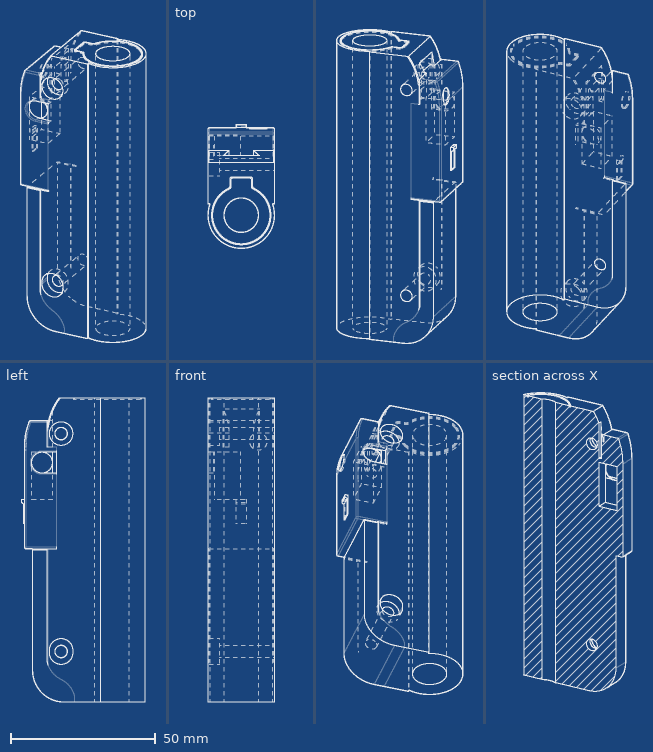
import cadquery as cq
import math

width = 23.0
depth = 42.7
height = 105.0
half_width = width / 2
barrel_radius = half_width
front_y = -barrel_radius

flank_front_y = 3.9
bore_radius = 5.9
body_back_y = 22.3
crown_radius = 20.0
crown_flat_end_y = 18.2
crown_edge_fillet = 0.3

insert_radius = 9.9
key_half_width = 3.6
key_back_y = 12.85
key_corner_fillet = 0.8
groove_width = 0.35
groove_depth = 0.5

cover_back_y = 27.4
cover_corner_radius = 11.0
seam_start = (body_back_y, 13.9)
seam_upper_mid = (20.4, 10.1)
seam_inflection = (17.2, 7.7)
seam_lower_mid = (14.3, 5.2)
seam_end = (12.8, 1.9)
cover_gap = 0.3

housing_back_y = 30.2
housing_front_y = 19.15
housing_bottom_z = 52.9
housing_top_z = 97.15
shoulder_z = 88.0
housing_arc_radius = 25.0
housing_edge_fillet = 0.6

dovetail_floor_y = 20.5
dovetail_floor_half_width = 6.25
tongue_half_width = 4.25

slot_y = 24.1
slot_z = 82.7
slot_radius = 3.6
slot_depth = 2.0
slot_rim_fillet = 0.4
window_wall = 0.3
chamber_depth = 9.0
chamber_bottom_z = 70.0
chamber_top_z = slot_z + slot_radius

tab_width = 3.5
tab_back_y = front_y + depth
tab_top_z = 70.0
tab_tip_z = 68.9
tab_foot_z = 68.4
tab_plate_thickness = 0.3
tab_plate_y = housing_back_y + tab_plate_thickness
tab_bottom_z = 61.6
tab_root_depth = 0.5
tab_root_y = housing_back_y - tab_root_depth
recess_x = 5.9
recess_z = 90.0
recess_radius = 3.0
recess_depth = 0.5

screw_y = 17.5
screw_heights = (17.5, 92.7)
screw_hole_radius = 2.1
screw_seat_width = 8.1
screw_seat_depth = 4.0
lower_seat_stretch = 0.8

pick_margin = 0.5


def side_sketch(x=-half_width):
    """Workplane in Y, Z at the given X; extruding runs towards +X."""
    return cq.Workplane("YZ", origin=(x, 0, 0))


def box(x_range, y_range, z_range):
    sizes = [high - low for low, high in (x_range, y_range, z_range)]
    corner = (x_range[0], y_range[0], z_range[0])
    return cq.Workplane("XY", origin=corner).box(*sizes, centered=False)


def arc_mid(center, radius, angle_a, angle_b):
    """Point on an arc halfway between two angles in radians."""
    angle = (angle_a + angle_b) / 2
    return (center[0] + radius * math.cos(angle), center[1] + radius * math.sin(angle))


def back_arc(back_y, start_z, end, radius):
    """Middle point of an arc that leaves a vertical back face and stops at end."""
    center = (back_y - radius, start_z)
    end_angle = math.atan2(end[1] - center[1], end[0] - center[0])
    return arc_mid(center, radius, 0, end_angle)


def make_block():
    """Block with its crowned back, cut short where the cover begins."""
    crown_drop = body_back_y - crown_flat_end_y
    crown_start_z = height - math.sqrt(crown_drop * (2 * crown_radius - crown_drop))
    crown_end = (crown_flat_end_y, height)
    crown_mid = back_arc(body_back_y, crown_start_z, crown_end, crown_radius)
    block = (
        side_sketch()
        .moveTo(flank_front_y, 0)
        .lineTo(seam_end[0], 0)
        .lineTo(*seam_end)
        .threePointArc(seam_lower_mid, seam_inflection)
        .threePointArc(seam_upper_mid, seam_start)
        .lineTo(body_back_y, crown_start_z)
        .threePointArc(crown_mid, crown_end)
        .lineTo(flank_front_y, height)
        .close()
        .extrude(width)
    )
    for side in (-1, 1):
        selector = cq.selectors.BoxSelector(
            (side * (half_width + pick_margin), crown_flat_end_y, crown_start_z),
            (side * (half_width - pick_margin), body_back_y, height),
        )
        block = block.edges(selector).fillet(crown_edge_fillet)
    notch = box(
        (-half_width, half_width),
        (housing_front_y, body_back_y),
        (housing_bottom_z, shoulder_z),
    )
    return block.cut(notch).cut(make_dovetail_slot())


def make_dovetail_slot():
    """Slot that narrows from its floor to the width of the tongue at the back."""
    return (
        cq.Workplane("XY", origin=(0, 0, shoulder_z))
        .polyline([
            (-dovetail_floor_half_width, dovetail_floor_y),
            (dovetail_floor_half_width, dovetail_floor_y),
            (tongue_half_width, body_back_y),
            (-tongue_half_width, body_back_y),
        ])
        .close()
        .extrude(height - shoulder_z)
    )


def make_cover():
    corner_center = (cover_back_y - cover_corner_radius, cover_corner_radius)
    corner_mid = arc_mid(corner_center, cover_corner_radius, -math.pi / 2, 0)
    cover = (
        side_sketch()
        .moveTo(seam_end[0], 0)
        .lineTo(corner_center[0], 0)
        .threePointArc(corner_mid, (cover_back_y, cover_corner_radius))
        .lineTo(cover_back_y, housing_bottom_z)
        .lineTo(body_back_y, housing_bottom_z)
        .lineTo(*seam_start)
        .threePointArc(seam_upper_mid, seam_inflection)
        .threePointArc(seam_lower_mid, seam_end)
        .close()
        .extrude(width)
    )
    for side in (-1, 1):
        gap = box(
            sorted((side * half_width, side * (half_width - cover_gap))),
            (body_back_y + cover_gap, cover_back_y),
            (housing_bottom_z - cover_gap, housing_bottom_z),
        )
        cover = cover.cut(gap)
    return cover


def make_housing():
    rise = housing_top_z - shoulder_z
    top_back_y = housing_back_y - housing_arc_radius + math.sqrt(housing_arc_radius**2 - rise**2)
    top_back = (top_back_y, housing_top_z)
    housing = (
        side_sketch()
        .moveTo(housing_front_y, housing_bottom_z)
        .lineTo(housing_back_y, housing_bottom_z)
        .lineTo(housing_back_y, shoulder_z)
        .threePointArc(back_arc(housing_back_y, shoulder_z, top_back, housing_arc_radius), top_back)
        .lineTo(body_back_y, housing_top_z)
        .lineTo(body_back_y, shoulder_z)
        .lineTo(housing_front_y, shoulder_z)
        .close()
        .extrude(width)
    )
    outer_edges = housing.faces("<Z or >Z").edges("|Y or (|X and >Y)")
    back_edges = housing.faces(">Y").edges("|Z or <Z")
    top_edge = housing.edges(cq.selectors.NearestToPointSelector((0, *top_back)))
    rounded_edges = outer_edges.add(back_edges).add(top_edge).vals()
    housing = housing.newObject(rounded_edges).fillet(housing_edge_fillet)
    tongue = box(
        (-tongue_half_width, tongue_half_width),
        (dovetail_floor_y, body_back_y),
        (shoulder_z, housing_top_z),
    )
    housing = housing.union(tongue)
    return cut_recess(cut_finger_slot(housing)).union(make_tab())


def cut_finger_slot(housing):
    """Round-ended slot open to the front, with a window into an inner chamber."""
    def slot_outline(radius):
        return (
            side_sketch()
            .moveTo(housing_front_y, slot_z - radius)
            .lineTo(slot_y, slot_z - radius)
            .threePointArc((slot_y + radius, slot_z), (slot_y, slot_z + radius))
            .lineTo(housing_front_y, slot_z + radius)
            .close()
        )

    housing = housing.cut(slot_outline(slot_radius).extrude(slot_depth))
    rim = cq.selectors.BoxSelector(
        (-half_width - pick_margin, housing_front_y + pick_margin, slot_z - slot_radius - pick_margin),
        (-half_width + pick_margin, slot_y + slot_radius + pick_margin, slot_z + slot_radius + pick_margin),
    )
    housing = housing.edges("<X").edges(rim).fillet(slot_rim_fillet)
    floor_x = -half_width + slot_depth
    chamber_x = floor_x + window_wall
    window = side_sketch(floor_x).center(slot_y, slot_z).circle(slot_radius).extrude(window_wall)
    chamber = box(
        (chamber_x, chamber_x + chamber_depth),
        (slot_y - slot_radius, slot_y + slot_radius),
        (chamber_bottom_z, chamber_top_z),
    )
    return housing.cut(window).cut(chamber)


def cut_recess(housing):
    recess = (
        cq.Workplane("XZ", origin=(recess_x, housing_back_y, recess_z))
        .circle(recess_radius)
        .extrude(recess_depth)
    )
    return housing.cut(recess)


def make_tab():
    """Thumb tab: a thin plate with a raised, undercut lip at its upper end."""
    return (
        side_sketch(-tab_width / 2)
        .polyline([
            (tab_root_y, tab_bottom_z),
            (tab_plate_y, tab_bottom_z),
            (tab_plate_y, tab_foot_z),
            (tab_back_y, tab_tip_z),
            (tab_back_y, tab_top_z),
            (tab_root_y, tab_top_z),
        ])
        .close()
        .extrude(tab_width)
    )


def insert_outline(offset):
    """Keyed insert seen from above, grown by the given offset."""
    radius = insert_radius + offset
    key_length = key_back_y + offset
    insert = cq.Workplane("XY").circle(radius).extrude(groove_depth)
    key = box(
        (-key_half_width - offset, key_half_width + offset),
        (0, key_length),
        (0, groove_depth),
    )
    key = key.edges("|Z and >Y").fillet(key_corner_fillet)
    neck_y = math.sqrt(radius**2 - (key_half_width + offset) ** 2)
    neck = cq.selectors.BoxSelector(
        (-radius, neck_y - pick_margin, 0),
        (radius, neck_y + pick_margin, groove_depth),
    )
    insert = insert.union(key)
    return insert.edges("|Z").edges(neck).fillet(key_corner_fillet)


def make_insert_groove():
    groove = insert_outline(groove_width).cut(insert_outline(0))
    return groove.translate((0, 0, height - groove_depth))


def make_screw_cuts():
    """Plain holes through the block with seats sunk from the left side."""
    cuts = []
    for screw_z, stretch in zip(screw_heights, (lower_seat_stretch, 0)):
        hole = side_sketch().center(screw_y, screw_z).circle(screw_hole_radius).extrude(width)
        seat = side_sketch().center(screw_y, screw_z).circle(screw_seat_width / 2).extrude(screw_seat_depth)
        if stretch:
            seat = (
                side_sketch()
                .center(screw_y, screw_z)
                .slot2D(screw_seat_width + stretch, screw_seat_width, angle=90)
                .extrude(screw_seat_depth)
            )
        cuts += [hole, seat]
    return cuts


barrel = cq.Workplane("XY").circle(barrel_radius).extrude(height)
body = make_block().union(barrel)
bore = cq.Workplane("XY").circle(bore_radius).extrude(height)
body = body.cut(bore).cut(make_insert_groove())

part = body.union(make_cover(), clean=False).union(make_housing(), clean=False)
for screw_cut in make_screw_cuts():
    part = part.cut(screw_cut, clean=False)

result = cq.Workplane(part.solids().val())